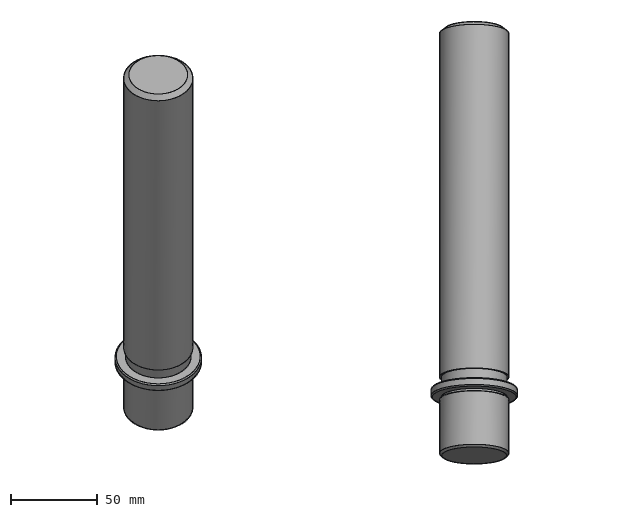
import cadquery as cq

total_length = 255.0
body_diameter = 40.0
neck_diameter = 38.0
collar_diameter = 50.0
collar_thickness = 5.0
collar_chamfer = 0.8
lower_body_length = 33.5
lower_groove_width = 1.5
upper_groove_width = 7.0
base_chamfer = 1.3
tip_chamfer_height = 2.5
tip_chamfer_width = 3.0

collar_bottom = lower_body_length + lower_groove_width
collar_top = collar_bottom + collar_thickness
upper_body_bottom = collar_top + upper_groove_width


def cylinder(diameter, bottom, top):
    """Solid cylinder on the Z axis between two heights."""
    return cq.Workplane("XY").workplane(offset=bottom).circle(diameter / 2).extrude(top - bottom)


lower_body = cylinder(body_diameter, 0, lower_body_length).faces("<Z").chamfer(base_chamfer)

neck = cylinder(neck_diameter, lower_body_length, upper_body_bottom)

collar = cylinder(collar_diameter, collar_bottom, collar_top).faces("<Z or >Z").chamfer(collar_chamfer)

tip_bottom = total_length - tip_chamfer_height
upper_body = cylinder(body_diameter, upper_body_bottom, tip_bottom)
tip = cq.Workplane("XY").add(
    cq.Solid.makeCone(
        body_diameter / 2,
        body_diameter / 2 - tip_chamfer_width,
        tip_chamfer_height,
        pnt=cq.Vector(0, 0, tip_bottom),
    )
)

result = lower_body.union(neck).union(collar).union(upper_body).union(tip)